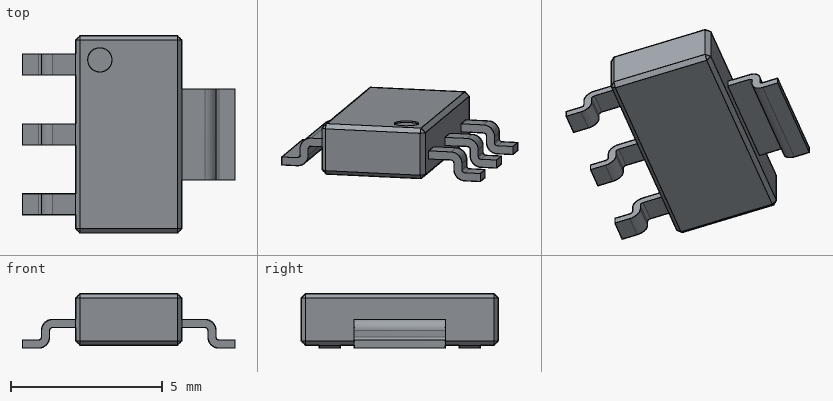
import cadquery as cq

OVERALL_SPAN = 7.0
OVERALL_HEIGHT = 1.8

HOUSING_WIDTH = 3.5
HOUSING_LENGTH = 6.5
STANDOFF = 0.1
HOUSING_CHAMFER = 0.15

METAL_THICKNESS = 0.27
INNER_BEND_RADIUS = 0.1
SHOULDER_HEIGHT = 0.95
FOOT_LENGTH = 0.525

LEAD_WIDTH = 0.7
LEAD_PITCH = 2.3
LEAD_COUNT = 3
TAB_WIDTH = 3.0

MARKER_DIAMETER = 0.8
MARKER_INSET = 0.8
MARKER_SINK = 0.05
MARKER_THICKNESS = 0.05

HOUSING_HEIGHT = OVERALL_HEIGHT - STANDOFF
HOUSING_SIDE = HOUSING_WIDTH / 2
TOE_REACH = OVERALL_SPAN / 2
OUTER_BEND_RADIUS = INNER_BEND_RADIUS + METAL_THICKNESS
RECESS_DEPTH = MARKER_SINK + MARKER_THICKNESS
MARKER_X = -HOUSING_SIDE + MARKER_INSET
MARKER_Y = HOUSING_LENGTH / 2 - MARKER_INSET


def marker_disc(bottom, height):
    """Upright disc of the marker diameter, centred on the marker position."""
    return (
        cq.Workplane("XY", origin=(MARKER_X, MARKER_Y, bottom))
        .circle(MARKER_DIAMETER / 2)
        .extrude(height)
    )


def make_housing():
    """Box chamfered on every edge, with a round recess for the marker."""
    box = (
        cq.Workplane("XY", origin=(0, 0, STANDOFF))
        .box(HOUSING_WIDTH, HOUSING_LENGTH, HOUSING_HEIGHT, centered=(True, True, False))
        .edges()
        .chamfer(HOUSING_CHAMFER)
    )
    return box.cut(marker_disc(OVERALL_HEIGHT - RECESS_DEPTH, RECESS_DEPTH))


def make_marker():
    """Pin-one marker lying on the recess floor."""
    return marker_disc(OVERALL_HEIGHT - RECESS_DEPTH, MARKER_THICKNESS)


def make_gull_wing(width, center_y):
    """Z-bent metal strip on the -X side, from its toe to the housing wall."""
    toe_x = -TOE_REACH
    foot_bend_x = toe_x + FOOT_LENGTH
    riser_outer_x = foot_bend_x + INNER_BEND_RADIUS
    riser_inner_x = riser_outer_x + METAL_THICKNESS
    shoulder_bend_x = riser_inner_x + INNER_BEND_RADIUS
    shoulder_underside = SHOULDER_HEIGHT - METAL_THICKNESS
    return (
        cq.Workplane("XZ", origin=(0, center_y, 0))
        .moveTo(toe_x, 0)
        .lineTo(foot_bend_x, 0)
        .radiusArc((riser_inner_x, OUTER_BEND_RADIUS), -OUTER_BEND_RADIUS)
        .lineTo(riser_inner_x, shoulder_underside - INNER_BEND_RADIUS)
        .radiusArc((shoulder_bend_x, shoulder_underside), INNER_BEND_RADIUS)
        .lineTo(-HOUSING_SIDE, shoulder_underside)
        .lineTo(-HOUSING_SIDE, SHOULDER_HEIGHT)
        .lineTo(shoulder_bend_x, SHOULDER_HEIGHT)
        .radiusArc((riser_outer_x, SHOULDER_HEIGHT - OUTER_BEND_RADIUS), -OUTER_BEND_RADIUS)
        .lineTo(riser_outer_x, METAL_THICKNESS + INNER_BEND_RADIUS)
        .radiusArc((foot_bend_x, METAL_THICKNESS), INNER_BEND_RADIUS)
        .lineTo(toe_x, METAL_THICKNESS)
        .close()
        .extrude(width / 2, both=True)
    )


def make_leads():
    """Equally spaced leads along the -X side, centred on the housing."""
    first_y = -LEAD_PITCH * (LEAD_COUNT - 1) / 2
    return [make_gull_wing(LEAD_WIDTH, first_y + i * LEAD_PITCH) for i in range(LEAD_COUNT)]


def make_tab():
    """Wide strip with the lead profile, mirrored to the +X side."""
    return make_gull_wing(TAB_WIDTH, 0).mirror("YZ")


housing = make_housing()
marker = make_marker()
leads = make_leads()
tab = make_tab()

result = cq.Compound.makeCompound(
    [housing.val(), marker.val(), tab.val(), *[lead.val() for lead in leads]]
)